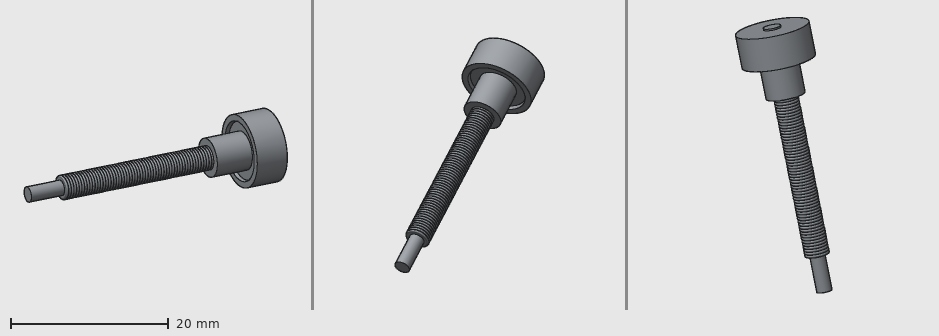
import cadquery as cq
import math

TIP_Y = -17.5
OVERALL_LENGTH = 35.0
PIN_LENGTH = 4.75
SLEEVE_LENGTH = 4.55
CAP_LENGTH = 4.35
BOSS_LENGTH = 0.2

PIN_DIAMETER = 2.0
RING_DIAMETER = 3.2
SLEEVE_DIAMETER = 5.07
CAP_DIAMETER = 9.5
BOSS_DIAMETER = 2.27

RECESS_MOUTH_DIAMETER = 7.87
RECESS_FLOOR_DIAMETER = 7.63
RECESS_DEPTH = 0.5

RING_COUNT = 55

boss_end_y = TIP_Y + OVERALL_LENGTH
cap_rear_y = boss_end_y - BOSS_LENGTH
cap_front_y = cap_rear_y - CAP_LENGTH
recess_floor_y = cap_front_y + RECESS_DEPTH
sleeve_front_y = cap_front_y - SLEEVE_LENGTH
rings_front_y = TIP_Y + PIN_LENGTH
ring_pitch = (sleeve_front_y - rings_front_y) / (RING_COUNT + 0.5)
ring_radius = ring_pitch / 2
ring_crest_radius = RING_DIAMETER / 2
ring_root_radius = ring_crest_radius - ring_radius


def add_rings(profile):
    """Append one semicircular bulge per ring, working toward the sleeve."""
    for index in range(RING_COUNT):
        start_y = rings_front_y + index * ring_pitch
        crest = (ring_crest_radius, start_y + ring_radius)
        profile = profile.threePointArc(crest, (ring_root_radius, start_y + ring_pitch))
    return profile


def add_last_half_ring(profile):
    """Append a quarter arc whose crest meets the front face of the sleeve."""
    diagonal = ring_radius * math.sqrt(0.5)
    arc_middle = (ring_root_radius + diagonal, sleeve_front_y - diagonal)
    return profile.threePointArc(arc_middle, (ring_crest_radius, sleeve_front_y))


profile = (
    cq.Workplane("XY")
    .moveTo(0, TIP_Y)
    .lineTo(PIN_DIAMETER / 2, TIP_Y)
    .lineTo(PIN_DIAMETER / 2, rings_front_y)
    .lineTo(ring_root_radius, rings_front_y)
)
profile = add_rings(profile)
profile = add_last_half_ring(profile)
profile = (
    profile.lineTo(SLEEVE_DIAMETER / 2, sleeve_front_y)
    .lineTo(SLEEVE_DIAMETER / 2, recess_floor_y)
    .lineTo(RECESS_FLOOR_DIAMETER / 2, recess_floor_y)
    .lineTo(RECESS_MOUTH_DIAMETER / 2, cap_front_y)
    .lineTo(CAP_DIAMETER / 2, cap_front_y)
    .lineTo(CAP_DIAMETER / 2, cap_rear_y)
    .lineTo(BOSS_DIAMETER / 2, cap_rear_y)
    .lineTo(BOSS_DIAMETER / 2, boss_end_y)
    .lineTo(0, boss_end_y)
    .close()
)

result = profile.revolve(360, (0, 0, 0), (0, 1, 0))